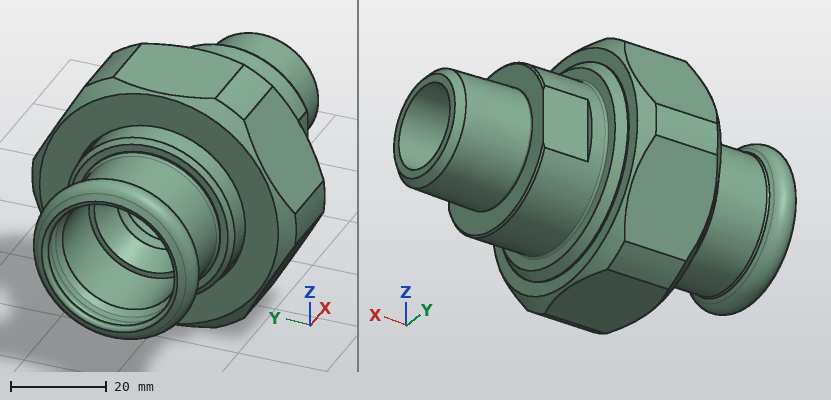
import cadquery as cq
import math


overall_length = 83.0
bore_radius = 19.0 / 2
collar_radius = 38.0 / 2
joint_x = 29.9

tube_outer_radius = 31.4 / 2
tube_inner_radius = 27.0 / 2
bead_peak_x = 3.61
bead_peak_radius = 18.4
bead_face_radius = 15.35
bead_shoulder_radius = 16.85
bead_shoulder_offset = 2.78
bead_foot_x = 6.9
bead_foot_radius = 15.9
bead_end_x = 7.4
mouth_radius = 28.7 / 2
mouth_round_length = 0.8
mouth_land_end_x = 1.3
groove_peak_x = 2.8
groove_peak_radius = 16.1
groove_end_x = 4.5
groove_end_radius = 15.2
groove_foot_x = 5.2
groove_foot_radius = 14.45
groove_blend_end_x = 6.8
collar_fillet_start_x = 20.1
collar_fillet = 0.6
collar_face_x = 21.0
collar_chamfer = 1.1
pipe_stop_x = collar_face_x
funnel_radius = 12.3
funnel_end_x = 26.5

nut_start_x = 26.6
nut_end_x = 47.65
nut_across_flats = 55.0
hexagon_turn = 30.0
nut_corner_radius = 59.7 / 2
nut_face_radius = 27.0
nut_chamfer_length = 2.8
nut_hole_radius = 19.5

ring_radius = 47.7 / 2
ring_tip_radius = 44.0 / 2
ring_chamfer_start_x = 48.0
ring_end_x = 49.9
ring_blend = 0.5
body_end_x = 65.0
body_chamfer = 0.4
flat_start_x = 53.7
flat_distance = 17.5
thread_start_x = 65.4
thread_start_radius = 27.0 / 2
thread_end_radius = 13.0
thread_chamfer = 1.7


def revolve_about_x(profile):
    """Revolve a closed (x, radius) outline a full turn about the X axis."""
    return profile.close().revolve(360, (0, 0, 0), (1, 0, 0))


def fillet_middle(center_x, center_radius, fillet, angle):
    """Point on a fillet arc in the (x, radius) plane."""
    turn = math.radians(angle)
    return (center_x + fillet * math.cos(turn), center_radius + fillet * math.sin(turn))


def make_spigot():
    mouth_round_height = bead_face_radius - mouth_radius
    mouth_round_middle = (
        mouth_round_length * (1 - math.sqrt(0.5)),
        bead_face_radius - mouth_round_height * math.sqrt(0.5),
    )
    fillet_end_x = collar_fillet_start_x + collar_fillet
    fillet_center_radius = tube_outer_radius + collar_fillet
    profile = (
        cq.Workplane("XY")
        .moveTo(0, bead_face_radius)
        .lineTo(bead_peak_x - bead_shoulder_offset, bead_shoulder_radius)
        .threePointArc(
            (bead_peak_x, bead_peak_radius),
            (bead_peak_x + bead_shoulder_offset, bead_shoulder_radius),
        )
        .lineTo(bead_foot_x, bead_foot_radius)
        .lineTo(bead_end_x, tube_outer_radius)
        .lineTo(collar_fillet_start_x, tube_outer_radius)
        .threePointArc(
            fillet_middle(collar_fillet_start_x, fillet_center_radius, collar_fillet, -45),
            (fillet_end_x, fillet_center_radius),
        )
        .lineTo(collar_face_x, fillet_center_radius)
        .lineTo(collar_face_x, collar_radius - collar_chamfer)
        .lineTo(collar_face_x + collar_chamfer, collar_radius)
        .lineTo(joint_x, collar_radius)
        .lineTo(joint_x, bore_radius)
        .lineTo(funnel_end_x, bore_radius)
        .lineTo(pipe_stop_x, funnel_radius)
        .lineTo(pipe_stop_x, tube_inner_radius)
        .lineTo(groove_blend_end_x, tube_inner_radius)
        .lineTo(groove_foot_x, groove_foot_radius)
        .lineTo(groove_end_x, groove_end_radius)
        .threePointArc(
            (groove_peak_x, groove_peak_radius),
            (mouth_land_end_x, mouth_radius),
        )
        .lineTo(mouth_round_length, mouth_radius)
        .threePointArc(mouth_round_middle, (0, bead_face_radius))
    )
    return revolve_about_x(profile)


def make_nut():
    length = nut_end_x - nut_start_x
    hexagon = (
        cq.Workplane("YZ", origin=(nut_start_x, 0, 0))
        .polygon(6, nut_across_flats, circumscribed=True)
        .extrude(length)
        .rotate((0, 0, 0), (1, 0, 0), hexagon_turn)
    )
    envelope = revolve_about_x(
        cq.Workplane("XY")
        .moveTo(nut_start_x, 0)
        .lineTo(nut_start_x, nut_face_radius)
        .lineTo(nut_start_x + nut_chamfer_length, nut_corner_radius)
        .lineTo(nut_end_x - nut_chamfer_length, nut_corner_radius)
        .lineTo(nut_end_x, nut_face_radius)
        .lineTo(nut_end_x, 0)
    )
    collar_hole = cq.Workplane("YZ", origin=(nut_start_x, 0, 0)).circle(nut_hole_radius).extrude(length)
    ring_recess = (
        cq.Workplane("YZ", origin=(joint_x, 0, 0)).circle(ring_radius).extrude(nut_end_x - joint_x)
    )
    return hexagon.intersect(envelope).cut(collar_hole).cut(ring_recess)


def make_tailpiece():
    turned = revolve_about_x(
        cq.Workplane("XY")
        .moveTo(joint_x, bore_radius)
        .lineTo(joint_x, ring_radius)
        .lineTo(ring_chamfer_start_x, ring_radius)
        .lineTo(ring_end_x, ring_tip_radius)
        .lineTo(ring_end_x, collar_radius + ring_blend)
        .threePointArc(
            fillet_middle(ring_end_x + ring_blend, collar_radius + ring_blend, ring_blend, 225),
            (ring_end_x + ring_blend, collar_radius),
        )
        .lineTo(body_end_x - body_chamfer, collar_radius)
        .lineTo(body_end_x, collar_radius - body_chamfer)
        .lineTo(body_end_x, thread_start_radius)
        .lineTo(thread_start_x, thread_start_radius)
        .lineTo(overall_length - thread_chamfer, thread_end_radius)
        .lineTo(overall_length, thread_end_radius - thread_chamfer)
        .lineTo(overall_length, bore_radius)
    )
    flat_length = body_end_x - flat_start_x
    flat_depth = collar_radius - flat_distance
    for side in (-1, 1):
        flat_cut = cq.Workplane("XY").box(flat_length, flat_depth, 2 * collar_radius).translate(
            (flat_start_x + flat_length / 2, side * (flat_distance + flat_depth / 2), 0)
        )
        turned = turned.cut(flat_cut)
    return turned


spigot = make_spigot()
nut = make_nut()
tailpiece = make_tailpiece()

result = cq.Compound.makeCompound([spigot.val(), nut.val(), tailpiece.val()])